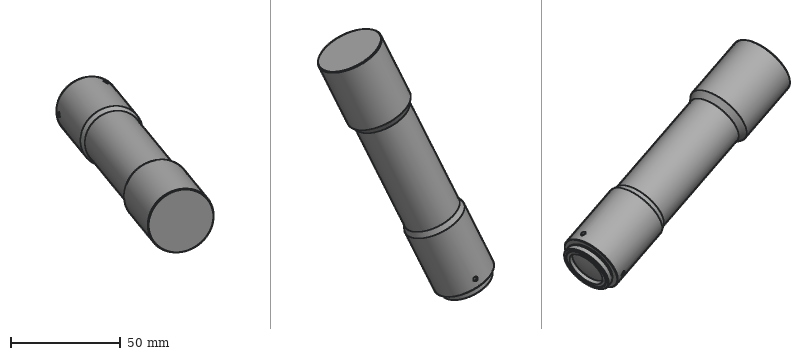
import cadquery as cq

total_length = 137.2
spigot_end = 3.0
body_start = 3.8
body_end = 38.5
barrel_start = 41.5
barrel_end = 99.6
head_start = 103.0

spigot_diameter = 25.4
relief_diameter = 24.4
body_diameter = 30.2
barrel_diameter = 27.9
head_diameter = 32.0
head_chamfer = 0.4
front_chamfer = 0.3

groove_diameter = 22.8
groove_width = 0.4
groove_depth = 0.3
bore_diameter = 18.7
bore_depth = 2.2
lens_height = 1.4

screw_count = 3
screw_position = 8.2
screw_diameter = 2.3
screw_depth = 1.4


def barrel_body():
    """Turned outer shape, revolved around the X axis."""
    spigot = spigot_diameter / 2
    relief = relief_diameter / 2
    body = body_diameter / 2
    barrel = barrel_diameter / 2
    head = head_diameter / 2
    outline = [
        (0, 0),
        (0, spigot - front_chamfer),
        (front_chamfer, spigot),
        (spigot_end, spigot),
        (spigot_end, relief),
        (body_start, relief),
        (body_start, body - front_chamfer),
        (body_start + front_chamfer, body),
        (body_end, body),
        (barrel_start, barrel),
        (barrel_end, barrel),
        (head_start, head),
        (total_length - head_chamfer, head),
        (total_length, head - head_chamfer),
        (total_length, 0),
    ]
    return cq.Workplane("XY").polyline(outline).close().revolve(360, (0, 0), (1, 0))


def window_recess():
    """Space in front of the lens: a short bore with a spherical dome for its floor."""
    bore = bore_diameter / 2
    sphere_radius = (bore**2 + lens_height**2) / (2 * lens_height)
    apex = bore_depth - lens_height
    sphere_center = apex + sphere_radius
    mid_radius = bore / 2
    mid_position = sphere_center - (sphere_radius**2 - mid_radius**2) ** 0.5
    return (
        cq.Workplane("XY")
        .moveTo(0, 0)
        .lineTo(0, bore)
        .lineTo(bore_depth, bore)
        .threePointArc((mid_position, mid_radius), (apex, 0))
        .close()
        .revolve(360, (0, 0), (1, 0))
    )


def retainer_groove():
    """V-groove in the front face where the lens retainer meets the spigot."""
    outer = groove_diameter / 2
    outline = [
        (0, outer),
        (groove_depth, outer - groove_width / 2),
        (0, outer - groove_width),
    ]
    return cq.Workplane("XY").polyline(outline).close().revolve(360, (0, 0), (1, 0))


def screw_hole(angle):
    """Blind radial hole, starting on the -Y side and turned about the X axis."""
    surface = body_diameter / 2
    hole = cq.Solid.makeCylinder(
        screw_diameter / 2,
        surface,
        cq.Vector(screw_position, screw_depth - surface, 0),
        cq.Vector(0, -1, 0),
    )
    return cq.Workplane(hole).rotate((0, 0, 0), (1, 0, 0), angle)


result = barrel_body().cut(window_recess()).cut(retainer_groove())
for index in range(screw_count):
    result = result.cut(screw_hole(index * 360 / screw_count))